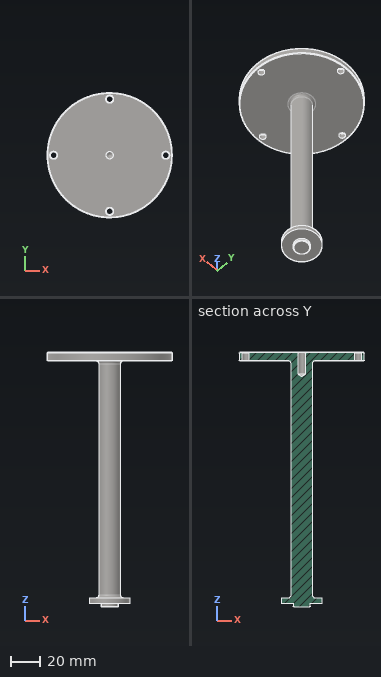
import cadquery as cq
import math

total_height = 175.0

plate_diameter = 86.0
plate_thickness = 6.0
plate_chamfer = 0.5

column_diameter = 15.0
column_fillet = 2.0

flange_diameter = 28.0
flange_thickness = 4.0
spigot_diameter = 11.9
spigot_length = 2.5
spigot_chamfer = 0.5

mount_hole_diameter = 4.5
mount_hole_chamfer = 0.5
mount_hole_count = 4
mount_circle_diameter = 77.0

centre_hole_diameter = 5.0
centre_hole_depth = 15.0
drill_point_angle = 118.0

flange_top = spigot_length + flange_thickness
plate_bottom = total_height - plate_thickness


def disc(diameter, bottom, top):
    """Cylinder on the Z axis between two levels."""
    return cq.Workplane("XY").workplane(offset=bottom).circle(diameter / 2).extrude(top - bottom)


def make_plate():
    plate = disc(plate_diameter, plate_bottom, total_height).edges().chamfer(plate_chamfer)
    holes = (
        cq.Workplane("XY")
        .workplane(offset=plate_bottom)
        .polarArray(mount_circle_diameter / 2, 0, 360, mount_hole_count)
        .circle(mount_hole_diameter / 2)
        .extrude(plate_thickness)
    )
    plate = plate.cut(holes)
    hole_rims = cq.selectors.RadiusNthSelector(0)
    return plate.faces(">Z").edges(hole_rims).chamfer(mount_hole_chamfer)


def make_spigot():
    spigot = disc(spigot_diameter, 0, spigot_length)
    return spigot.faces("<Z").edges().chamfer(spigot_chamfer)


def make_column():
    """Revolved column whose ends flare out through concave fillets."""
    radius = column_diameter / 2
    flare_radius = radius + column_fillet
    lower_tangent = flange_top + column_fillet
    upper_tangent = plate_bottom - column_fillet
    arc_mid = column_fillet * math.cos(math.radians(45))
    return (
        cq.Workplane("XZ")
        .moveTo(0, flange_top)
        .lineTo(flare_radius, flange_top)
        .threePointArc((flare_radius - arc_mid, lower_tangent - arc_mid), (radius, lower_tangent))
        .lineTo(radius, upper_tangent)
        .threePointArc((flare_radius - arc_mid, upper_tangent + arc_mid), (flare_radius, plate_bottom))
        .lineTo(0, plate_bottom)
        .close()
        .revolve(360, (0, 0), (0, 1))
    )


def make_centre_hole():
    """Drilled hole with a conical point."""
    radius = centre_hole_diameter / 2
    point_length = radius / math.tan(math.radians(drill_point_angle / 2))
    hole_bottom = total_height - centre_hole_depth
    return (
        cq.Workplane("XZ")
        .moveTo(0, total_height)
        .lineTo(radius, total_height)
        .lineTo(radius, hole_bottom)
        .lineTo(0, hole_bottom - point_length)
        .close()
        .revolve(360, (0, 0), (0, 1))
    )


flange = disc(flange_diameter, spigot_length, flange_top)
result = make_plate().union(make_column()).union(flange).union(make_spigot()).cut(make_centre_hole())